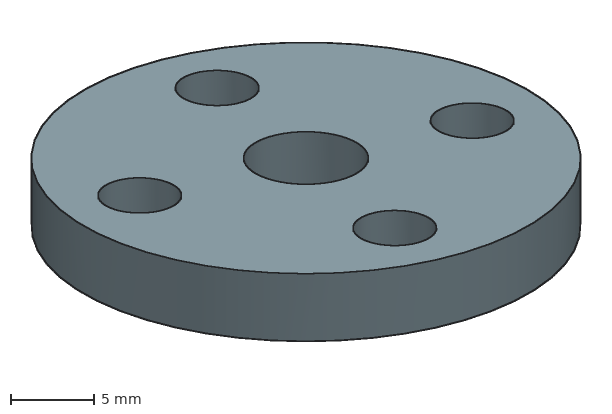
import cadquery as cq

disc_diameter = 33.0
disc_thickness = 4.5
bore_diameter = 7.5
bolt_hole_diameter = 5.0
bolt_circle_radius = 11.32
bolt_hole_count = 4

disc = cq.Workplane("XY").circle(disc_diameter / 2).extrude(disc_thickness)

disc = disc.faces(">Z").workplane().hole(bore_diameter)

result = (
    disc.faces(">Z")
    .workplane()
    .polarArray(bolt_circle_radius, 0, 360, bolt_hole_count)
    .hole(bolt_hole_diameter)
)